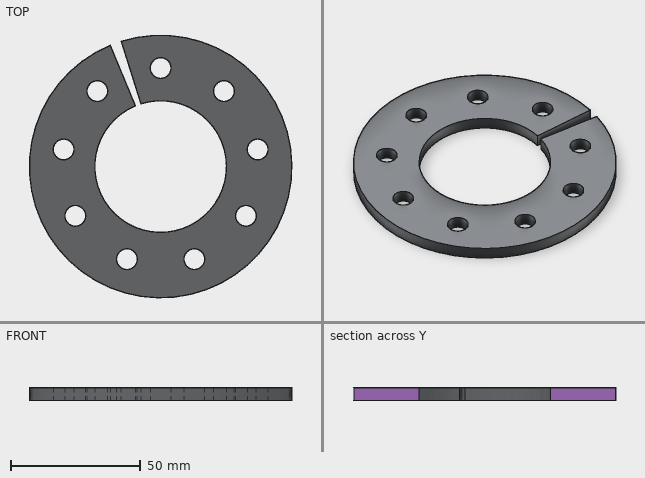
import cadquery as cq
import math

outer_diameter = 101.6
inner_diameter = outer_diameter / 2
thickness = 5.0
hole_count = 9
hole_diameter = 7.9
bolt_circle_diameter = (outer_diameter + inner_diameter) / 2
first_hole_angle = 90.0
gap_angle = 5.0

gap_center_angle = first_hole_angle + 360.0 / hole_count / 2


def polar_point(radius, angle):
    """Point at a radius and an angle in degrees, measured from +X."""
    return (radius * math.cos(math.radians(angle)), radius * math.sin(math.radians(angle)))


def split_ring():
    """Flat ring sector whose radial end faces leave a wedge-shaped gap."""
    outer_radius = outer_diameter / 2
    inner_radius = inner_diameter / 2
    start_angle = gap_center_angle + gap_angle / 2
    end_angle = gap_center_angle - gap_angle / 2
    opposite_angle = gap_center_angle + 180.0
    return (
        cq.Workplane("XY")
        .moveTo(*polar_point(inner_radius, start_angle))
        .lineTo(*polar_point(outer_radius, start_angle))
        .threePointArc(polar_point(outer_radius, opposite_angle), polar_point(outer_radius, end_angle))
        .lineTo(*polar_point(inner_radius, end_angle))
        .threePointArc(polar_point(inner_radius, opposite_angle), polar_point(inner_radius, start_angle))
        .close()
        .extrude(thickness)
    )


def bolt_holes():
    """Cylinders for the evenly spaced through holes."""
    return (
        cq.Workplane("XY")
        .polarArray(bolt_circle_diameter / 2, first_hole_angle, 360.0, hole_count)
        .circle(hole_diameter / 2)
        .extrude(thickness)
    )


result = split_ring().cut(bolt_holes())